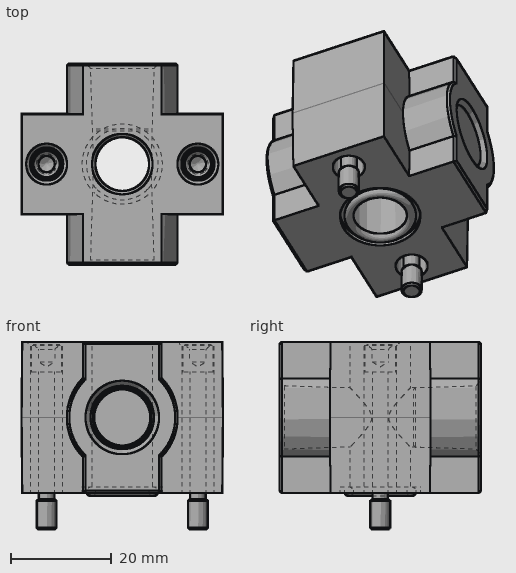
import cadquery as cq
import math

length = 40.0
height = 30.0
half_length = length / 2
half_height = height / 2
x_arm_width = 20.0
x_arm_draft = 0.5
y_arm_width = 15.6
boss_diameter = 22.0
end_chamfer = 0.5

main_bore_diameter = 12.0
seat_diameter = 15.9
port_diameter = 12.6
port_taper = 1 / 16
port_mouth_chamfer = 1.0
port_taper_end_y = half_length - port_mouth_chamfer

ring_section = 1.8
ring_inner_diameter = 10.6
ring_protrusion = 0.6
seat_depth = ring_section - ring_protrusion

plug_setback = 0.6
plug_inner_y = main_bore_diameter / 2 + plug_setback
plug_outer_y = port_taper_end_y
plug_chamfer = 0.35

screw_x = 15.0
screw_hole_diameter = 6.35
countersink_diameter = 8.1
countersink_depth = 0.75
head_diameter = 6.0
head_length = 6.0
neck_diameter = 3.15
thread_diameter = 4.0
screw_protrusion = 7.2
neck_protrusion = 1.2
thread_end_chamfer = 0.4
socket_diameter = 5.2
socket_depth = 0.5
pilot_diameter = 3.25
pilot_depth = 4.0
pilot_tip_angle = 118.0


def revolved_about_z(points):
    """Solid of revolution from (radius, z) points that start and end on the Z axis."""
    return cq.Workplane("XZ").polyline(points).close().revolve(360, (0, 0), (0, 1))


def revolved_about_y(points):
    """Solid of revolution from (radius, y) points that start and end on the Y axis."""
    return cq.Workplane("XY").polyline(points).close().revolve(360, (0, 0), (0, 1))


def port_radius(y):
    """Radius of the tapered ports at a distance y along the axis from the centre."""
    return (port_diameter - (port_taper_end_y - y) * port_taper) / 2


def make_x_arms():
    """Block across X, widest at mid-height and drafted towards the top and the bottom."""
    upper_half = cq.Workplane("XY").rect(length, x_arm_width).extrude(half_height, taper=x_arm_draft)
    return upper_half.union(upper_half.rotate((0, 0, 0), (1, 0, 0), 180))


def make_y_arms():
    """Upright arms and the round boss, both along Y, with chamfered end faces."""
    arms = cq.Workplane("XZ").rect(y_arm_width, height).extrude(half_length, both=True)
    boss = cq.Workplane("XZ").circle(boss_diameter / 2).extrude(half_length, both=True)
    return arms.union(boss).faces("<Y or >Y").chamfer(end_chamfer)


def make_ports():
    """Two tapered ports with chamfered mouths, narrowest where they meet at the centre."""
    mouth_radius = port_diameter / 2 + port_mouth_chamfer
    points = [
        (0, -half_length),
        (mouth_radius, -half_length),
        (port_diameter / 2, -port_taper_end_y),
        (port_radius(0), 0),
        (port_diameter / 2, port_taper_end_y),
        (mouth_radius, half_length),
        (0, half_length),
    ]
    return revolved_about_y(points)


def make_screw_hole():
    """Through hole with a 45-degree countersink that leaves a narrow ledge around the hole."""
    radius = screw_hole_diameter / 2
    countersink_radius = countersink_diameter / 2
    return revolved_about_z([
        (0, -half_height),
        (radius, -half_height),
        (radius, half_height - countersink_depth),
        (countersink_radius - countersink_depth, half_height - countersink_depth),
        (countersink_radius, half_height),
        (0, half_height),
    ])


def make_housing():
    """Cross-shaped block with its bores, seal recess and screw holes."""
    housing = make_x_arms().union(make_y_arms())
    main_bore = cq.Workplane("XY").circle(main_bore_diameter / 2).extrude(half_height, both=True)
    seat = cq.Workplane("XY", origin=(0, 0, -half_height)).circle(seat_diameter / 2).extrude(seat_depth)
    housing = housing.cut(main_bore).cut(seat).cut(make_ports())
    for side in (-1, 1):
        housing = housing.cut(make_screw_hole().translate((side * screw_x, 0, 0)))
    return housing


def make_seal_ring():
    """O-ring seated against the roof of its recess and standing proud of the underside."""
    section_radius = ring_section / 2
    centre_radius = ring_inner_diameter / 2 + section_radius
    centre_z = -half_height + seat_depth - section_radius
    section = cq.Workplane("XZ").center(centre_radius, centre_z).circle(section_radius)
    return section.revolve(360, (-centre_radius, 0), (-centre_radius, 1))


def make_plug():
    """Tapered plug that fills the +Y port, chamfered at its inner end."""
    points = [
        (0, plug_inner_y),
        (port_radius(plug_inner_y) - plug_chamfer, plug_inner_y),
        (port_radius(plug_inner_y + plug_chamfer), plug_inner_y + plug_chamfer),
        (port_radius(plug_outer_y), plug_outer_y),
        (0, plug_outer_y),
    ]
    return revolved_about_y(points)


def make_screw():
    """Screw on the Z axis: head flush with the housing top, threaded end below the underside."""
    head_radius = head_diameter / 2
    neck_radius = neck_diameter / 2
    thread_radius = thread_diameter / 2
    socket_radius = socket_diameter / 2
    pilot_radius = pilot_diameter / 2
    tip_z = -half_height - screw_protrusion
    neck_end_z = -half_height - neck_protrusion
    pilot_end_z = half_height - pilot_depth
    pilot_tip_length = pilot_radius / math.tan(math.radians(pilot_tip_angle / 2))
    return revolved_about_z([
        (0, tip_z),
        (thread_radius - thread_end_chamfer, tip_z),
        (thread_radius, tip_z + thread_end_chamfer),
        (thread_radius, neck_end_z - (thread_radius - neck_radius)),
        (neck_radius, neck_end_z),
        (neck_radius, half_height - head_length),
        (head_radius, half_height - head_length),
        (head_radius, half_height),
        (socket_radius, half_height),
        (socket_radius, half_height - socket_depth),
        (pilot_radius, half_height - socket_depth - (socket_radius - pilot_radius)),
        (pilot_radius, pilot_end_z),
        (0, pilot_end_z - pilot_tip_length),
    ])


housing = make_housing()
seal_ring = make_seal_ring()
plug = make_plug()
screws = [make_screw().translate((side * screw_x, 0, 0)) for side in (-1, 1)]

result = cq.Compound.makeCompound([
    housing.val(),
    seal_ring.val(),
    plug.val(),
    *[screw.val() for screw in screws],
])